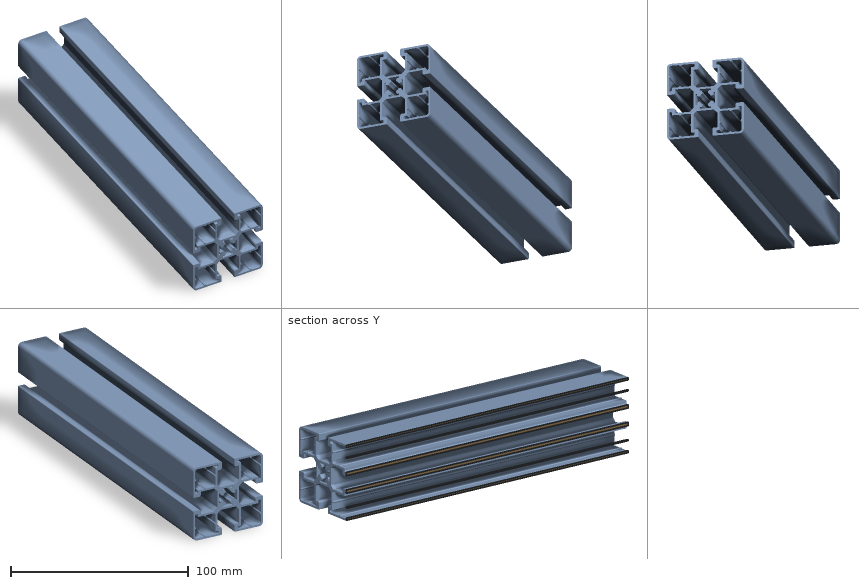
import cadquery as cq

length = 200.0
side = 45.0
quarters = 4
wall = 1.2
outer_radius = 2.5
chamber_corner_radius = 1.5
chamber_hub_radius = 1.0

slot_mouth = 8.2
slot_width = 14.0
lip_depth = 4.8
lip_radius = 1.0
mouth_edge_radius = 0.5
slot_floor_chamfer = 2.0

undercut_reach = 2.0
undercut_height = 1.8
undercut_radius = 0.8

rib_radius = 0.5

claw_root = 3.3
claw_shoulder = 4.9
claw_bend = 2.2
claw_flank = 3.9
claw_tip = 1.5
screw_radius = 3.5

half_side = side / 2
half_slot = slot_width / 2
chamber_outer = half_side - wall
chamber_inner = half_slot + wall
chamber_mid = (chamber_outer + chamber_inner) / 2
channel_half = half_slot - wall


def block(y_min, y_max, z_min, z_max):
    """Full-length bar with the given rectangular YZ section."""
    centre = (0, (y_min + y_max) / 2, (z_min + z_max) / 2)
    return cq.Workplane("XY").box(length, y_max - y_min, z_max - z_min).translate(centre)


def mirror_diagonal(points):
    """Reflect section points across the Y = Z diagonal, in reverse order."""
    return [(z, y) for y, z in reversed(points)]


def extrude_section(wire):
    """Full-length bar from a closed YZ section, centred on X = 0."""
    return wire.extrude(length / 2, both=True)


def turned(shape, quarter_turns):
    """Copy of the shape turned about the X axis by quarter turns."""
    return shape.rotate((0, 0, 0), (1, 0, 0), 90 * quarter_turns)


def make_slot():
    """Slot opening toward +Z."""
    lip_face = half_side - lip_depth
    mouth = block(-slot_mouth / 2, slot_mouth / 2, lip_face, half_side)
    cavity = block(-half_slot, half_slot, half_slot, lip_face)
    cavity = cavity.edges("|X and <Z").chamfer(slot_floor_chamfer)
    slot = cavity.union(mouth)
    inner_lip_edges = cq.selectors.BoxSelector(
        (-length, -slot_mouth / 2 - lip_radius, lip_face - lip_radius),
        (length, slot_mouth / 2 + lip_radius, lip_face + lip_radius),
    )
    return slot.edges("|X").edges(inner_lip_edges).fillet(lip_radius)


def make_mouth_rounding():
    """Waste along the two outer edges of the +Z slot mouth."""
    rim = half_side - mouth_edge_radius
    edge = slot_mouth / 2 + mouth_edge_radius
    waste = block(-edge, edge, rim, half_side)
    for side_sign in (-1, 1):
        round_edge = cq.Workplane("YZ").center(side_sign * edge, rim).circle(mouth_edge_radius)
        waste = waste.cut(extrude_section(round_edge))
    return waste


def make_chamber():
    """Hollow in the +Y +Z corner, with both lip undercuts and four ribs."""
    chamber = block(chamber_inner, chamber_outer, chamber_inner, chamber_outer)
    chamber = chamber.edges("|X and >Y and >Z").fillet(chamber_corner_radius)
    chamber = chamber.edges("|X and <Y and <Z").fillet(chamber_hub_radius)

    undercut_floor = chamber_outer - undercut_height
    undercut_end = chamber_inner - undercut_reach
    undercut = block(undercut_end, chamber_mid, undercut_floor, chamber_outer)
    undercut = undercut.edges("|X and <Y").fillet(undercut_radius)
    diagonal_twin = turned(undercut.mirror("XZ"), -1)
    chamber = chamber.union(undercut).union(diagonal_twin)

    rib_centres = [
        (chamber_mid, chamber_inner),
        (chamber_mid, chamber_outer),
        (chamber_inner, chamber_mid),
        (chamber_outer, chamber_mid),
    ]
    ribs = cq.Workplane("YZ").pushPoints(rib_centres).circle(rib_radius)
    return chamber.cut(extrude_section(ribs))


def make_claw():
    """Screw claw in the +Y +Z corner of the central channel."""
    flank = [
        (claw_root, channel_half),
        (claw_root, claw_shoulder),
        (claw_bend, claw_shoulder),
        (claw_tip, claw_flank),
    ]
    tip_height = (screw_radius**2 - claw_tip**2) ** 0.5
    arc_middle = screw_radius / 2**0.5
    section = (
        cq.Workplane("YZ")
        .polyline([(channel_half, channel_half)] + flank + [(claw_tip, tip_height)])
        .threePointArc((arc_middle, arc_middle), (tip_height, claw_tip))
    )
    for y, z in mirror_diagonal(flank):
        section = section.lineTo(y, z)
    return extrude_section(section.close())


result = block(-half_side, half_side, -half_side, half_side).edges("|X").fillet(outer_radius)
result = result.cut(block(-channel_half, channel_half, -channel_half, channel_half))

slot = make_slot().union(make_mouth_rounding())
chamber = make_chamber()
for quarter in range(quarters):
    result = result.cut(turned(slot, quarter)).cut(turned(chamber, quarter))

claw = make_claw()
for quarter in range(quarters):
    result = result.union(turned(claw, quarter))